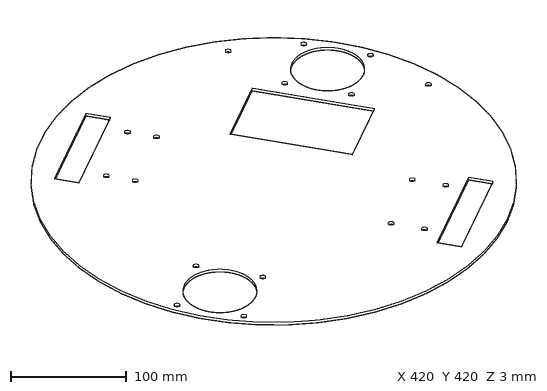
import cadquery as cq

plate_diameter = 420.0
plate_thickness = 3.0
screw_hole_diameter = 5.0

opening_diameter = 64.0
opening_offset_y = 170.0
opening_screw_spacing = 60.0

window_width = 110.0
window_height = 70.0
window_center_y = 90.0

slot_width = 22.0
slot_length = 100.0
slot_offset_x = 172.0

motor_hole_columns = (-141.0, -115.0, 115.0, 145.0)
motor_hole_row_spacing = 67.0

edge_hole_spacing = 180.0
edge_hole_y = 172.3


def cut_holes(plate, diameter, centers):
    """Drill through-holes of one diameter at the given XY centers."""
    return plate.faces(">Z").workplane(origin=(0, 0, 0)).pushPoints(centers).hole(diameter)


def cut_rectangles(plate, width, length, centers):
    """Cut rectangular through-openings at the given XY centers."""
    return plate.faces(">Z").workplane(origin=(0, 0, 0)).pushPoints(centers).rect(width, length).cutThruAll()


def cut_round_openings(plate):
    """Cut both large openings and the screw holes around them."""
    half_spacing = opening_screw_spacing / 2
    for center_y in (-opening_offset_y, opening_offset_y):
        screw_centers = [
            (x, center_y + dy)
            for x in (-half_spacing, half_spacing)
            for dy in (-half_spacing, half_spacing)
        ]
        plate = cut_holes(plate, opening_diameter, [(0, center_y)])
        plate = cut_holes(plate, screw_hole_diameter, screw_centers)
    return plate


def cut_motor_holes(plate):
    """Drill the two rows of motor mounting holes."""
    half_spacing = motor_hole_row_spacing / 2
    centers = [(x, y) for x in motor_hole_columns for y in (-half_spacing, half_spacing)]
    return cut_holes(plate, screw_hole_diameter, centers)


def cut_edge_holes(plate):
    """Drill the mirrored pair of holes near the +Y edge."""
    half_spacing = edge_hole_spacing / 2
    centers = [(x, edge_hole_y) for x in (-half_spacing, half_spacing)]
    return cut_holes(plate, screw_hole_diameter, centers)


plate = cq.Workplane("XY").circle(plate_diameter / 2).extrude(plate_thickness)
plate = cut_round_openings(plate)
plate = cut_rectangles(plate, window_width, window_height, [(0, window_center_y)])
plate = cut_rectangles(plate, slot_width, slot_length, [(-slot_offset_x, 0), (slot_offset_x, 0)])
plate = cut_motor_holes(plate)
plate = cut_edge_holes(plate)

result = plate